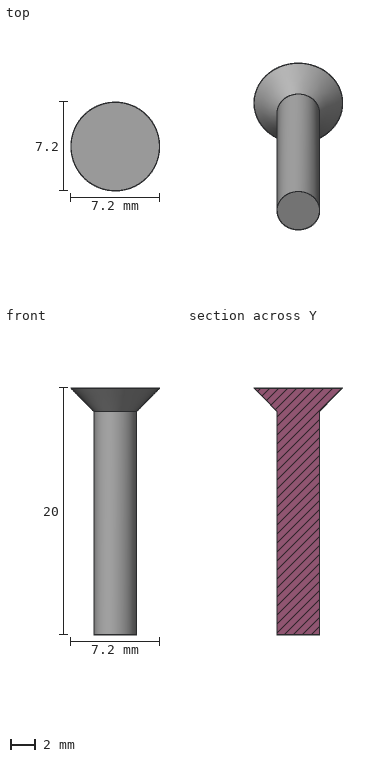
import cadquery as cq

total_length = 20.0
head_diameter = 7.2
head_height = 1.9
shank_diameter = 3.45

head_radius = head_diameter / 2
shank_radius = shank_diameter / 2
shank_length = total_length - head_height

half_profile = (
    cq.Workplane("XZ")
    .lineTo(shank_radius, 0)
    .lineTo(shank_radius, shank_length)
    .lineTo(head_radius, total_length)
    .lineTo(0, total_length)
    .close()
)

result = half_profile.revolve(360, (0, 0, 0), (0, 1, 0))